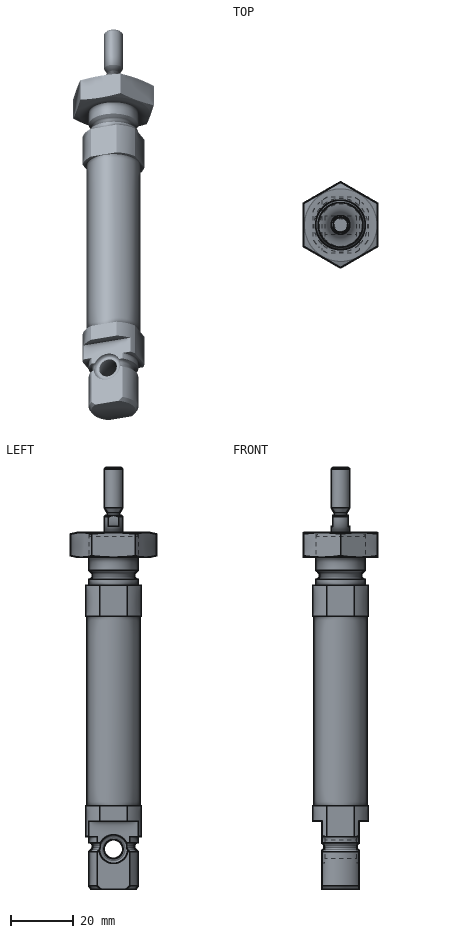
import cadquery as cq
import math

TOTAL_LENGTH = 136.0
LUG_LENGTH = 17.0
CAP_LENGTH = 10.0
COLLAR_LENGTH = 17.0
ROD_STICKOUT = 21.0

TUBE_DIAMETER = 17.3
CAP_CORNER_DIAMETER = 20.0
CAP_ACROSS_FLATS = 18.0
THREAD_DIAMETER = 16.0
THREAD_TIP_DIAMETER = 14.38
THREAD_CHAMFER_LENGTH = 1.2
LUG_WIDTH = 12.0
LUG_STEP_HEIGHT = 5.0

UNDERCUT_DIAMETER = 13.7
UNDERCUT_OFFSET = 2.0
UNDERCUT_LENGTH = 2.9
UNDERCUT_ROUND = 0.8

PIVOT_HEIGHT = 13.0
PIVOT_DIAMETER = 6.0
RECESS_DIAMETER = 9.2
RECESS_DEPTH = 1.0

ROD_DIAMETER = 6.0
ROD_TIP_DIAMETER = 4.8
ROD_NECK_DIAMETER = 4.13
ROD_THREAD_LENGTH = 13.0
ROD_SHOULDER_DEPTH = 16.0
NECK_TAPER_ANGLE = 30.0
ROD_ACROSS_FLATS = 5.0
ROD_FLATS_END_DEPTH = 19.0

NUT_ACROSS_FLATS = 24.0
NUT_THICKNESS = 8.0
NUT_FACE_DIAMETER = 23.4
NUT_CHAMFER_ANGLE = 13.0

rear_cap_bottom = LUG_LENGTH
rear_cap_top = rear_cap_bottom + CAP_LENGTH
collar_top = TOTAL_LENGTH - ROD_STICKOUT
front_cap_top = collar_top - COLLAR_LENGTH
front_cap_bottom = front_cap_top - CAP_LENGTH
nut_bottom = collar_top - NUT_THICKNESS


def revolve_profile(points):
    """Revolve a closed (radius, height) outline about the Z axis."""
    return cq.Workplane("XZ").polyline(points).close().revolve(360, (0, 0), (0, 1))


def make_threaded_end(length):
    """Threaded cylinder rising from a cap face at Z = 0, with its undercut and end chamfer."""
    radius = THREAD_DIAMETER / 2
    tip_radius = THREAD_TIP_DIAMETER / 2
    neck_radius = UNDERCUT_DIAMETER / 2
    arc_center_radius = neck_radius + UNDERCUT_ROUND
    undercut_end = UNDERCUT_OFFSET + UNDERCUT_LENGTH

    chamfer_start = undercut_end - (radius - tip_radius)
    far_round_angle = math.acos((arc_center_radius - tip_radius) / UNDERCUT_ROUND)
    far_round_center = chamfer_start - UNDERCUT_ROUND * math.sin(far_round_angle)
    near_round_center = UNDERCUT_OFFSET + UNDERCUT_ROUND

    def round_point(center_height, angle):
        return (
            arc_center_radius - UNDERCUT_ROUND * math.cos(angle),
            center_height + UNDERCUT_ROUND * math.sin(angle),
        )

    return (
        cq.Workplane("XZ")
        .lineTo(radius, 0)
        .lineTo(radius, UNDERCUT_OFFSET)
        .lineTo(arc_center_radius, UNDERCUT_OFFSET)
        .threePointArc(round_point(near_round_center, -math.pi / 4), (neck_radius, near_round_center))
        .lineTo(neck_radius, far_round_center)
        .threePointArc(round_point(far_round_center, far_round_angle / 2), (tip_radius, chamfer_start))
        .lineTo(radius, undercut_end)
        .lineTo(radius, length - THREAD_CHAMFER_LENGTH)
        .lineTo(tip_radius, length)
        .lineTo(0, length)
        .close()
        .revolve(360, (0, 0), (0, 1))
    )


def make_cap(bottom):
    """Square end cap with round corners."""
    square = cq.Workplane("XY").rect(CAP_ACROSS_FLATS, CAP_ACROSS_FLATS).extrude(CAP_LENGTH)
    round_bar = cq.Workplane("XY").circle(CAP_CORNER_DIAMETER / 2).extrude(CAP_LENGTH)
    return square.intersect(round_bar).translate((0, 0, bottom))


def cut_lug_flats(body):
    """Flatten the lug and the lower part of the rear cap on both X sides."""
    flats_top = rear_cap_bottom + LUG_STEP_HEIGHT
    side_depth = (CAP_CORNER_DIAMETER - LUG_WIDTH) / 2
    for side in (-1, 1):
        cutter = (
            cq.Workplane("XY")
            .center(side * (LUG_WIDTH + side_depth) / 2, 0)
            .rect(side_depth, CAP_CORNER_DIAMETER)
            .extrude(flats_top)
        )
        body = body.cut(cutter)
    return body


def cut_pivot_hole(body):
    """Cross hole through the lug, with a recess with a quarter-round wall in each flat."""
    half_width = LUG_WIDTH / 2
    recess_floor = half_width - RECESS_DEPTH
    hole = (
        cq.Workplane("YZ")
        .center(0, PIVOT_HEIGHT)
        .circle(PIVOT_DIAMETER / 2)
        .extrude(half_width, both=True)
    )
    mouth_radius = RECESS_DIAMETER / 2
    floor_radius = mouth_radius - RECESS_DEPTH
    arc_offset = RECESS_DEPTH * math.sin(math.pi / 4)
    right_recess = (
        cq.Workplane("XY")
        .moveTo(recess_floor, 0)
        .lineTo(recess_floor, floor_radius)
        .threePointArc((half_width - arc_offset, floor_radius + arc_offset), (half_width, mouth_radius))
        .lineTo(half_width, 0)
        .close()
        .revolve(360, (0, 0), (1, 0))
        .translate((0, 0, PIVOT_HEIGHT))
    )
    left_recess = right_recess.mirror("YZ")
    return body.cut(hole).cut(right_recess).cut(left_recess)


def make_housing():
    """Tube with two caps, the front threaded collar and the rear pivot lug."""
    tube_length = front_cap_bottom - rear_cap_top
    tube = (
        cq.Workplane("XY")
        .workplane(offset=rear_cap_top)
        .circle(TUBE_DIAMETER / 2)
        .extrude(tube_length)
    )
    collar = make_threaded_end(COLLAR_LENGTH).translate((0, 0, front_cap_top))
    lug = make_threaded_end(LUG_LENGTH).mirror("XY").translate((0, 0, rear_cap_bottom))
    body = tube.union(make_cap(front_cap_bottom)).union(make_cap(rear_cap_bottom))
    body = body.union(collar).union(lug)
    return cut_pivot_hole(cut_lug_flats(body))


def make_rod():
    """Threaded rod end with a necked undercut and two wrench flats, standing on the collar face."""
    radius = ROD_DIAMETER / 2
    tip_radius = ROD_TIP_DIAMETER / 2
    neck_radius = ROD_NECK_DIAMETER / 2
    chamfer = radius - tip_radius
    shank_top = TOTAL_LENGTH - ROD_SHOULDER_DEPTH
    neck_bottom = shank_top + chamfer
    taper_top = TOTAL_LENGTH - ROD_THREAD_LENGTH
    neck_top = taper_top - (radius - neck_radius) / math.tan(math.radians(NECK_TAPER_ANGLE))
    rod = revolve_profile([
        (0, collar_top),
        (radius, collar_top),
        (radius, shank_top),
        (tip_radius, neck_bottom),
        (neck_radius, neck_bottom),
        (neck_radius, neck_top),
        (radius, taper_top),
        (radius, TOTAL_LENGTH - chamfer),
        (tip_radius, TOTAL_LENGTH),
        (0, TOTAL_LENGTH),
    ])
    flats_bottom = TOTAL_LENGTH - ROD_FLATS_END_DEPTH
    for side in (-1, 1):
        cutter = (
            cq.Workplane("XY")
            .workplane(offset=flats_bottom)
            .center(side * (ROD_ACROSS_FLATS + ROD_DIAMETER) / 2, 0)
            .rect(ROD_DIAMETER, ROD_DIAMETER)
            .extrude(neck_bottom - flats_bottom)
        )
        rod = rod.cut(cutter)
    return rod


def make_nut():
    """Hexagon nut with corners along Y, chamfered on both faces."""
    corner_radius = NUT_ACROSS_FLATS / math.sqrt(3)
    face_radius = NUT_FACE_DIAMETER / 2
    chamfer_height = (corner_radius - face_radius) * math.tan(math.radians(NUT_CHAMFER_ANGLE))
    hexagon = (
        cq.Workplane("XY")
        .polygon(6, 2 * corner_radius)
        .extrude(NUT_THICKNESS)
        .rotate((0, 0, 0), (0, 0, 1), 30)
    )
    chamfered_disc = revolve_profile([
        (0, 0),
        (face_radius, 0),
        (corner_radius, chamfer_height),
        (corner_radius, NUT_THICKNESS - chamfer_height),
        (face_radius, NUT_THICKNESS),
        (0, NUT_THICKNESS),
    ])
    bore = cq.Workplane("XY").circle(THREAD_DIAMETER / 2).extrude(NUT_THICKNESS)
    return hexagon.intersect(chamfered_disc).cut(bore).translate((0, 0, nut_bottom))


housing = make_housing()
rod = make_rod()
nut = make_nut()

result = cq.Compound.makeCompound([housing.val(), rod.val(), nut.val()])